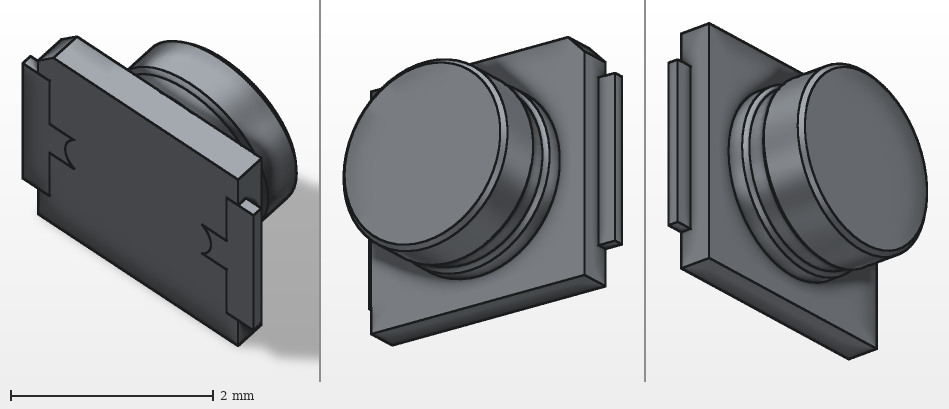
import cadquery as cq

base_side = 2.6
base_depth = 0.36
base_corner_cut = 0.2

collar_diameter = 2.0
groove_diameter = 1.9
collar_end = 1.3
groove_start = 0.535
groove_end = 0.813
collar_chamfer = (collar_diameter - groove_diameter) / 2

terminal_span = 3.0
terminal_height = 1.8
terminal_thickness = 0.12
terminal_inner_x = 1.15
tongue_width = 0.45
tongue_tip_x = 0.835
tongue_hollow_x = 0.948


def make_terminal(side):
    """Terminal on the +X (side = 1) or -X (side = -1) edge, with a hollow-ended inward tongue."""
    outer_x = side * terminal_span / 2
    inner_x = side * terminal_inner_x
    tip_x = side * tongue_tip_x
    half_height = terminal_height / 2
    half_tongue = tongue_width / 2
    return (
        cq.Workplane("XZ")
        .moveTo(outer_x, -half_height)
        .lineTo(outer_x, half_height)
        .lineTo(inner_x, half_height)
        .lineTo(inner_x, half_tongue)
        .lineTo(tip_x, half_tongue)
        .threePointArc((side * tongue_hollow_x, 0), (tip_x, -half_tongue))
        .lineTo(inner_x, -half_tongue)
        .lineTo(inner_x, -half_height)
        .close()
        .extrude(-terminal_thickness)
    )


def make_base():
    """Square plate with its upper -X corner cut off."""
    plate = cq.Workplane("XZ").rect(base_side, base_side).extrude(-base_depth)
    return plate.edges("|Y").edges("<X").edges(">Z").chamfer(base_corner_cut)


def make_collar():
    """Round collar revolved about Y, with a chamfered groove and rear rim."""
    collar_radius = collar_diameter / 2
    groove_radius = groove_diameter / 2
    profile = [
        (0, base_depth),
        (collar_radius, base_depth),
        (collar_radius, groove_start),
        (groove_radius, groove_start + collar_chamfer),
        (groove_radius, groove_end - collar_chamfer),
        (collar_radius, groove_end),
        (collar_radius, collar_end - collar_chamfer),
        (groove_radius, collar_end),
        (0, collar_end),
    ]
    return cq.Workplane("XY").polyline(profile).close().revolve(360, (0, 0, 0), (0, 1, 0))


terminals = [make_terminal(side) for side in (-1, 1)]

housing = make_base().union(make_collar())
for terminal in terminals:
    housing = housing.cut(terminal)

result = cq.Compound.makeCompound([housing.solids().val(), *[terminal.val() for terminal in terminals]])